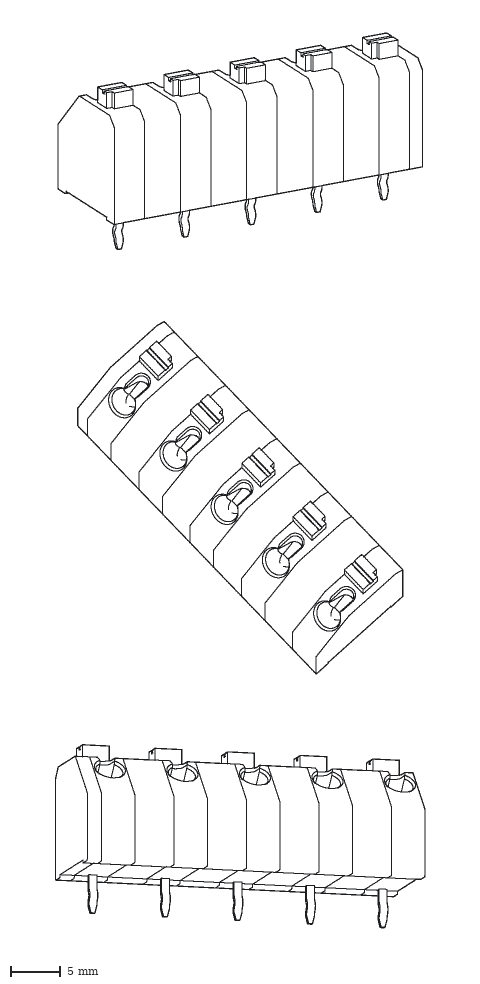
import cadquery as cq
import math


POLES = 5
PITCH = 7.62
TERMINAL_WIDTH = 3.5
SPACER_WIDTH = PITCH - TERMINAL_WIDTH
END_PLATE_WIDTH = 1.5
TERMINAL_MID = TERMINAL_WIDTH / 2

DEPTH = 12.0
HEIGHT = 11.5
SLOPE_RUN = 4.53
SLOPE_START_HEIGHT = HEIGHT - SLOPE_RUN
REAR_CHAMFER = 1.0
FOOT_LENGTH = 1.7
FOOT_HEIGHT = 0.3
EDGE_RADIUS = 0.15

ENTRY_X = 3.15
ENTRY_Z = SLOPE_START_HEIGHT + ENTRY_X
ENTRY_RADIUS = 1.4
ENTRY_MOUTH_RADIUS = 1.6
ENTRY_LEAD_IN = 0.3
ENTRY_DEPTH = 3.55
RAMP_X = 3.85
RAMP_ANGLE = math.radians(30)
CHEEK_DEPTH = 2.4
CHEEK_ANGLE = math.radians(28)

SLOT_END_CENTRE_X = 5.8
SLOT_RADIUS = 0.75
SLOT_MOUTH_RADIUS = 0.92
SLOT_LEAD_IN = 0.43

BUTTON_X = 7.15
BUTTON_LENGTH = 2.4
BUTTON_WIDTH = 2.8
BUTTON_HEIGHT = 1.7
BUTTON_STEP_LENGTH = 0.45
BUTTON_STEP_WIDTH = 0.62
GROOVE_X = 8.15
GROOVE_WIDTH = 0.4
GROOVE_DEPTH = 0.33

PIN_X = 9.5
PIN_THICKNESS = 0.43
PIN_WIDTH = 0.84
PIN_TIP_WIDTH = 0.42
PIN_BOTTOM = -3.6
PIN_TAPER_TOP = -2.8
KINK_MID = -1.82
KINK_OUTER_RADIUS = 0.8
KINK_BLEND_RADIUS = 0.48
KINK_ANGLE = math.radians(42)


def housing_slice(start, width):
    """Slice of the housing profile, from Y = start to start + width."""
    outline = [
        (0, 0),
        (FOOT_LENGTH, 0),
        (FOOT_LENGTH, FOOT_HEIGHT),
        (DEPTH - FOOT_LENGTH, FOOT_HEIGHT),
        (DEPTH - FOOT_LENGTH, 0),
        (DEPTH, 0),
        (DEPTH, HEIGHT - REAR_CHAMFER),
        (DEPTH - REAR_CHAMFER, HEIGHT),
        (SLOPE_RUN, HEIGHT),
        (0, SLOPE_START_HEIGHT),
    ]
    block = cq.Workplane("XZ", origin=(0, start, 0)).polyline(outline).close().extrude(-width)
    outer_edges = block.edges("|Y").filter(lambda edge: abs(edge.Center().z - FOOT_HEIGHT) > EDGE_RADIUS)
    return outer_edges.fillet(EDGE_RADIUS)


def wall_block(touch, normal):
    """Block of wall material behind the plane through touch, on the side that normal points to."""
    return cq.Workplane(cq.Plane(origin=touch, normal=normal)).rect(DEPTH, DEPTH).extrude(ENTRY_DEPTH)


def wire_entry(start):
    """Round wire hole with a conical mouth, narrowed inside by a ramp and two cheeks."""
    middle = start + TERMINAL_MID
    mouth = cq.Plane(origin=(ENTRY_X, middle, ENTRY_Z), xDir=(0, 1, 0), normal=(1, 0, -1))
    hole = cq.Workplane(mouth).circle(ENTRY_RADIUS).extrude(ENTRY_DEPTH)
    lead_in = (
        cq.Workplane(mouth)
        .circle(ENTRY_MOUTH_RADIUS)
        .workplane(offset=ENTRY_LEAD_IN)
        .circle(ENTRY_RADIUS)
        .loft(ruled=True)
    )
    ramp_z = ENTRY_X + ENTRY_Z - ENTRY_RADIUS * math.sqrt(2) - RAMP_X
    ramp_normal = (-math.sin(RAMP_ANGLE), 0, -math.cos(RAMP_ANGLE))
    hole = hole.cut(wall_block((RAMP_X, middle, ramp_z), ramp_normal))
    cheek_step = CHEEK_DEPTH / math.sqrt(2)
    cheek_lean = math.sin(CHEEK_ANGLE) / math.sqrt(2)
    for side in (-1, 1):
        touch = (ENTRY_X + cheek_step, middle + side * ENTRY_RADIUS, ENTRY_Z - cheek_step)
        cheek_normal = (cheek_lean, side * math.cos(CHEEK_ANGLE), -cheek_lean)
        hole = hole.cut(wall_block(touch, cheek_normal))
    return hole.union(lead_in)


def slot_outline(radius, start):
    """Closed slot outline with a round rear end, on the top face."""
    middle = start + TERMINAL_MID
    return (
        cq.Workplane("XY", origin=(0, middle, HEIGHT))
        .moveTo(ENTRY_X, -radius)
        .lineTo(SLOT_END_CENTRE_X, -radius)
        .threePointArc((SLOT_END_CENTRE_X + radius, 0), (SLOT_END_CENTRE_X, radius))
        .lineTo(ENTRY_X, radius)
        .close()
    )


def test_slot(start):
    """Slot from the top face down to the wire entry, with a flared mouth."""
    entry_bottom = ENTRY_Z - ENTRY_DEPTH / math.sqrt(2)
    taper = math.degrees(math.atan((SLOT_MOUTH_RADIUS - SLOT_RADIUS) / SLOT_LEAD_IN))
    slot = slot_outline(SLOT_RADIUS, start).extrude(entry_bottom - HEIGHT)
    end_plane_offset = ENTRY_Z - ENTRY_X - ENTRY_DEPTH * math.sqrt(2)
    above_floor = (
        cq.Workplane("XZ", origin=(0, start, 0))
        .polyline([
            (ENTRY_X, HEIGHT),
            (ENTRY_X, ENTRY_Z),
            (ENTRY_X + ENTRY_DEPTH / math.sqrt(2), entry_bottom),
            (HEIGHT - end_plane_offset, HEIGHT),
        ])
        .close()
        .extrude(-TERMINAL_WIDTH)
    )
    flare = slot_outline(SLOT_MOUTH_RADIUS, start).extrude(-SLOT_LEAD_IN, taper=taper)
    return slot.intersect(above_floor).union(flare)


def push_button(start):
    """Button flush with the +Y face of its terminal, stepped at one corner and grooved on top."""
    button_y = start + TERMINAL_WIDTH - BUTTON_WIDTH
    top = HEIGHT + BUTTON_HEIGHT
    button = cq.Workplane("XY").box(BUTTON_LENGTH, BUTTON_WIDTH, BUTTON_HEIGHT, centered=False)
    button = button.translate((BUTTON_X, button_y, HEIGHT))
    step = cq.Workplane("XY").box(
        BUTTON_STEP_LENGTH, BUTTON_STEP_WIDTH, BUTTON_HEIGHT, centered=False)
    step = step.translate((BUTTON_X + BUTTON_LENGTH - BUTTON_STEP_LENGTH, button_y, HEIGHT))
    groove = cq.Workplane("XY").box(GROOVE_WIDTH, BUTTON_WIDTH, GROOVE_DEPTH, centered=False)
    groove = groove.translate((GROOVE_X, button_y, top - GROOVE_DEPTH))
    return button.cut(step).cut(groove)


def solder_pin(start):
    """Flat pin with a rounded kink towards -X and a tapered tip."""
    half_kink = (KINK_OUTER_RADIUS + KINK_BLEND_RADIUS) * math.sin(KINK_ANGLE)
    kink_top = KINK_MID + half_kink
    kink_bottom = KINK_MID - half_kink
    shift = (KINK_OUTER_RADIUS + KINK_BLEND_RADIUS) * (1 - math.cos(KINK_ANGLE))
    bulge_centre_x = PIN_X - shift + KINK_OUTER_RADIUS
    blend_centre_x = PIN_X - KINK_BLEND_RADIUS

    def bulge_point(radius, angle):
        return (bulge_centre_x - radius * math.cos(angle), KINK_MID + radius * math.sin(angle))

    def blend_point(radius, centre_z, angle):
        return (blend_centre_x + radius * math.cos(angle), centre_z + radius * math.sin(angle))

    rear_x = PIN_X + PIN_THICKNESS
    inner_radius = KINK_OUTER_RADIUS - PIN_THICKNESS
    rear_blend = KINK_BLEND_RADIUS + PIN_THICKNESS
    half_angle = KINK_ANGLE / 2
    strip = (
        cq.Workplane("XZ", origin=(0, start + TERMINAL_MID - PIN_WIDTH / 2, 0))
        .moveTo(PIN_X, FOOT_HEIGHT)
        .lineTo(PIN_X, kink_top)
        .threePointArc(
            blend_point(KINK_BLEND_RADIUS, kink_top, -half_angle),
            bulge_point(KINK_OUTER_RADIUS, KINK_ANGLE))
        .threePointArc(
            bulge_point(KINK_OUTER_RADIUS, 0), bulge_point(KINK_OUTER_RADIUS, -KINK_ANGLE))
        .threePointArc(
            blend_point(KINK_BLEND_RADIUS, kink_bottom, half_angle), (PIN_X, kink_bottom))
        .lineTo(PIN_X, PIN_BOTTOM)
        .lineTo(rear_x, PIN_BOTTOM)
        .lineTo(rear_x, kink_bottom)
        .threePointArc(
            blend_point(rear_blend, kink_bottom, half_angle),
            bulge_point(inner_radius, -KINK_ANGLE))
        .threePointArc(bulge_point(inner_radius, 0), bulge_point(inner_radius, KINK_ANGLE))
        .threePointArc(blend_point(rear_blend, kink_top, -half_angle), (rear_x, kink_top))
        .lineTo(rear_x, FOOT_HEIGHT)
        .close()
        .extrude(-PIN_WIDTH)
    )
    front_outline = (
        cq.Workplane("YZ", origin=(0, start + TERMINAL_MID, 0))
        .polyline([
            (-PIN_WIDTH / 2, FOOT_HEIGHT),
            (-PIN_WIDTH / 2, PIN_TAPER_TOP),
            (-PIN_TIP_WIDTH / 2, PIN_BOTTOM),
            (PIN_TIP_WIDTH / 2, PIN_BOTTOM),
            (PIN_WIDTH / 2, PIN_TAPER_TOP),
            (PIN_WIDTH / 2, FOOT_HEIGHT),
        ])
        .close()
        .extrude(DEPTH)
    )
    return strip.intersect(front_outline)


def terminal(start):
    """One pole: housing slice with wire entry, test slot, push button and solder pin."""
    body = housing_slice(start, TERMINAL_WIDTH)
    body = body.cut(wire_entry(start)).cut(test_slot(start))
    return body.union(push_button(start)).union(solder_pin(start))


terminals = [terminal(pole * PITCH) for pole in range(POLES)]
spacers = [housing_slice(pole * PITCH + TERMINAL_WIDTH, SPACER_WIDTH) for pole in range(POLES - 1)]
end_plate = housing_slice((POLES - 1) * PITCH + TERMINAL_WIDTH, END_PLATE_WIDTH)

bodies = [*terminals, *spacers, end_plate]
result = cq.Compound.makeCompound([body.solids().val() for body in bodies])